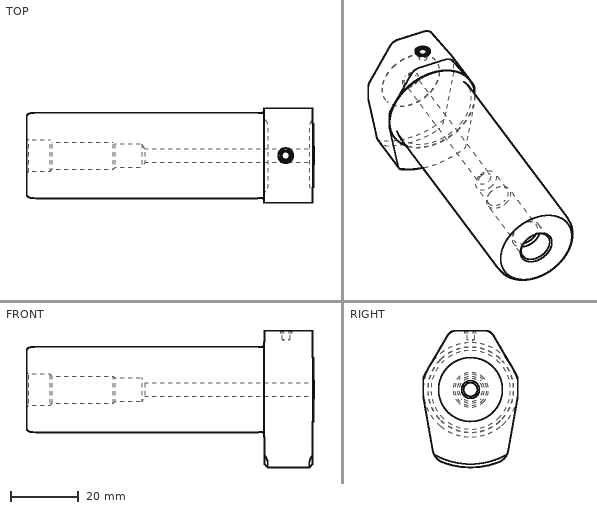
import cadquery as cq
import math


shaft_diameter = 25.4
shaft_radius = shaft_diameter / 2
relief_radius = 12.6
end_face_diameter = 23.4
end_edge_radius = 12.1
end_edge_length = 0.25
end_band_start = 1.5
end_band_end = 3.1
neck_start = 68.1
neck_taper = 0.7
neck_fillet = 0.3

total_length = 85
head_start = 70.2
head_end = 84.5
head_width = 28.0
head_half_width = head_width / 2
head_top = 17.4
head_bottom_radius = 23.0
top_half_width = 5.95
shoulder_height = 3.65
waist_height = -2.1
lower_taper_angle = 10
corner_fillet = 3.0
bottom_corner_fillet = 4.8
bottom_chamfer = 1.0

disc_height = 0.25
front_disc_radius = head_half_width
back_disc_radius = 9.4
rim_radius = 2.6

through_diameter = 4.0
mouth_diameter = 10.4
bore_diameter = 9.35
step_diameter = 8.0
pilot_diameter = 6.9
bore_depth = 6.8
step_depth = 25.5
pilot_depth = 34
drill_point_angle = 118

screw_x = 76.5
seat_diameter = 4.5
seat_chamfer = 0.25
screw_diameter = 4.0
screw_cone_depth = 0.7
screw_top_diameter = 3.0
screw_sink = 0.2
socket_diameter = 2.3
socket_depth = 2.55
socket_tip = 0.7


def disc(start, length, radius):
    """Plain cylinder on the part's axis."""
    return cq.Workplane("YZ", origin=(start, 0, 0)).circle(radius).extrude(length)


def make_shaft():
    """Turned shaft with a rounded free end and a relief next to the head."""
    neck_end = head_start - disc_height
    round_length = end_band_start - end_edge_length
    round_rise = relief_radius - end_edge_radius
    end_round = (round_length**2 + round_rise**2) / (2 * round_rise)
    profile = (
        cq.Workplane("XY")
        .lineTo(0, end_face_diameter / 2)
        .lineTo(end_edge_length, end_edge_radius)
        .radiusArc((end_band_start, relief_radius), end_round)
        .lineTo(end_band_end, shaft_radius)
        .lineTo(neck_start, shaft_radius)
        .lineTo(neck_start + neck_taper, relief_radius)
        .lineTo(neck_end - neck_fillet, relief_radius)
        .radiusArc((neck_end, relief_radius + neck_fillet), -neck_fillet)
        .lineTo(neck_end + disc_height, relief_radius + neck_fillet)
        .lineTo(neck_end + disc_height, 0)
        .close()
    )
    return profile.revolve(360, (0, 0, 0), (1, 0, 0))


def make_head():
    """Prism with a narrow flat top, sloping shoulders and a rounded foot."""
    length = head_end - head_start
    taper = math.tan(math.radians(lower_taper_angle))
    foot_half_width = head_half_width - (head_bottom_radius + waist_height) * taper
    block = (
        cq.Workplane("YZ", origin=(head_start, 0, 0))
        .moveTo(-top_half_width, head_top)
        .lineTo(top_half_width, head_top)
        .lineTo(head_half_width, shoulder_height)
        .lineTo(head_half_width, waist_height)
        .lineTo(foot_half_width, -head_bottom_radius)
        .lineTo(-foot_half_width, -head_bottom_radius)
        .lineTo(-head_half_width, waist_height)
        .lineTo(-head_half_width, shoulder_height)
        .close()
        .extrude(length)
    )
    upper_corners = cq.selectors.BoxSelector(
        (head_start, -total_length, 0), (head_end, total_length, total_length)
    )
    block = block.edges("|X").edges(upper_corners).fillet(corner_fillet)
    foot_round = disc(head_start, length, head_bottom_radius)
    block = block.intersect(foot_round)
    foot_corners = cq.selectors.BoxSelector(
        (head_start, -total_length, -total_length), (head_end, total_length, 2 * waist_height)
    )
    block = block.edges("|X").edges(foot_corners).fillet(bottom_corner_fillet)
    return block.intersect(foot_round.edges().chamfer(bottom_chamfer))


def make_discs():
    """Raised disc on each face of the head and the rim around the bore exit."""
    front = disc(head_start - disc_height, disc_height, front_disc_radius)
    back = disc(head_end, disc_height, back_disc_radius)
    rim = disc(head_end, total_length - head_end, rim_radius)
    return front.union(back).union(rim)


def make_bore():
    """Stepped bore that narrows towards the head and passes right through."""
    mouth_r = mouth_diameter / 2
    bore_r = bore_diameter / 2
    step_r = step_diameter / 2
    pilot_r = pilot_diameter / 2
    through_r = through_diameter / 2
    point_length = (pilot_r - through_r) / math.tan(math.radians(drill_point_angle / 2))
    profile = (
        cq.Workplane("XY")
        .lineTo(0, mouth_r)
        .lineTo(mouth_r - bore_r, bore_r)
        .lineTo(bore_depth, bore_r)
        .lineTo(bore_depth + bore_r - step_r, step_r)
        .lineTo(step_depth, step_r)
        .lineTo(step_depth + step_r - pilot_r, pilot_r)
        .lineTo(pilot_depth, pilot_r)
        .lineTo(pilot_depth + point_length, through_r)
        .lineTo(total_length, through_r)
        .lineTo(total_length, 0)
        .close()
    )
    return profile.revolve(360, (0, 0, 0), (1, 0, 0))


def make_screw_recess():
    """Room around the chamfered screw end, with its blind socket."""
    profile = (
        cq.Workplane("XZ", origin=(screw_x, 0, head_top))
        .lineTo(seat_diameter / 2, 0)
        .lineTo(screw_diameter / 2, -seat_chamfer)
        .lineTo(screw_diameter / 2, -screw_cone_depth)
        .lineTo(screw_top_diameter / 2, -screw_sink)
        .lineTo(socket_diameter / 2, -screw_sink)
        .lineTo(socket_diameter / 2, -socket_depth)
        .lineTo(0, -socket_depth - socket_tip)
        .close()
    )
    return profile.revolve(360, (0, 0, 0), (0, 1, 0))


body = make_shaft().union(make_head()).union(make_discs())
part = body.cut(make_bore()).cut(make_screw_recess())
result = cq.Workplane(part.solids().val())